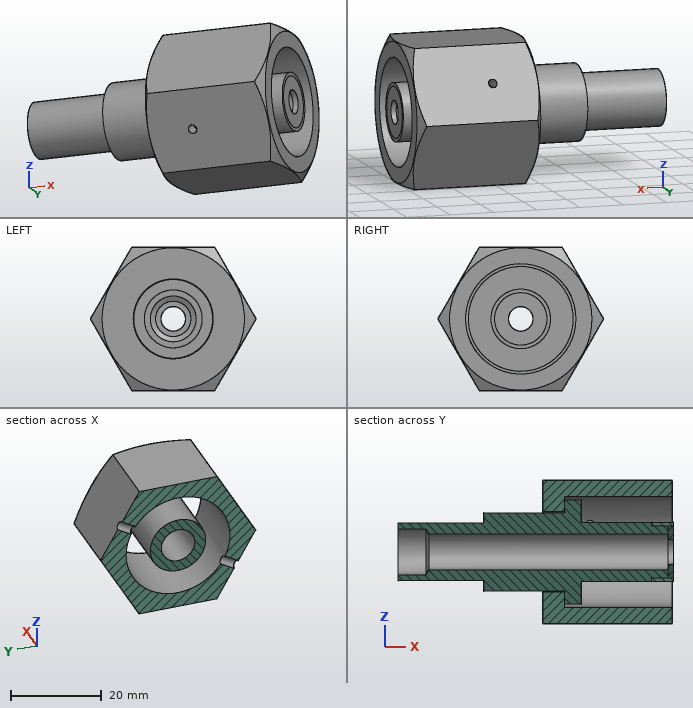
import cadquery as cq
import math


TOTAL_LENGTH = 60.9

HEX_SIDES = 6
ACROSS_FLATS = 31.7
NUT_START = 32.0
NUT_END = 60.6
NUT_FACE_RADIUS = 15.7
NUT_CHAMFER_ANGLE = 30.0
NUT_BACK_THICKNESS = 4.9
NUT_BORE_RADIUS = 12.2
VENT_RADIUS = 1.0
VENT_X = 42.45
VENT_TURN_FROM_Z = -60.0

TUBE_RADIUS = 6.4
TUBE_LENGTH = 18.95
COLLAR_RADIUS = 8.7
COLLAR_CLEARANCE = 0.1
SHOULDER_RADIUS = 11.6
SHOULDER_LENGTH = 3.65

SOCKET_RADIUS = 5.05
SOCKET_DEPTH = 6.2
BORE_RADIUS = 3.9
BORE_TAPER_LENGTH = 0.7

NOSE_RADIUS = 6.6
KEEPER_LENGTH = 4.9
KEEPER_WALL = 0.8
GASKET_THICKNESS = 1.2
GASKET_HOLE_RADIUS = 2.7

CORNER_RADIUS = ACROSS_FLATS / 2 / math.cos(math.pi / HEX_SIDES)
SHOULDER_START = NUT_START + NUT_BACK_THICKNESS
SHOULDER_END = SHOULDER_START + SHOULDER_LENGTH
KEEPER_START = TOTAL_LENGTH - KEEPER_LENGTH
GASKET_START = TOTAL_LENGTH - GASKET_THICKNESS
GASKET_RADIUS = NOSE_RADIUS - KEEPER_WALL


def revolve_profile(points):
    """Revolve a closed outline of (x, radius) points about the X axis."""
    return cq.Workplane("XY").polyline(points).close().revolve(360, (0, 0, 0), (1, 0, 0))


def tube(start, end, outer_radius, inner_radius):
    """Plain ring along X."""
    return (
        cq.Workplane("YZ", origin=(start, 0, 0))
        .circle(outer_radius)
        .circle(inner_radius)
        .extrude(end - start)
    )


def corner_chamfer_envelope():
    """Round blank with coned ends that trims the corners of the hexagon."""
    chamfer_length = (CORNER_RADIUS - NUT_FACE_RADIUS) * math.tan(math.radians(NUT_CHAMFER_ANGLE))
    return revolve_profile([
        (NUT_START, 0),
        (NUT_START, NUT_FACE_RADIUS),
        (NUT_START + chamfer_length, CORNER_RADIUS),
        (NUT_END - chamfer_length, CORNER_RADIUS),
        (NUT_END, NUT_FACE_RADIUS),
        (NUT_END, 0),
    ])


def vent_hole():
    """Cross hole through two opposite flats, perpendicular to them."""
    return (
        cq.Workplane("XY", origin=(VENT_X, 0, 0))
        .circle(VENT_RADIUS)
        .extrude(CORNER_RADIUS, both=True)
        .rotate((0, 0, 0), (1, 0, 0), VENT_TURN_FROM_Z)
    )


def make_nut():
    hexagon = (
        cq.Workplane("YZ", origin=(NUT_START, 0, 0))
        .polygon(HEX_SIDES, 2 * CORNER_RADIUS)
        .extrude(NUT_END - NUT_START)
    )
    neck_radius = COLLAR_RADIUS + COLLAR_CLEARANCE
    cavity = revolve_profile([
        (NUT_START, 0),
        (NUT_START, neck_radius),
        (SHOULDER_START, neck_radius),
        (SHOULDER_START, NUT_BORE_RADIUS),
        (NUT_END, NUT_BORE_RADIUS),
        (NUT_END, 0),
    ])
    return hexagon.intersect(corner_chamfer_envelope()).cut(cavity).cut(vent_hole())


def make_nipple():
    return revolve_profile([
        (0, SOCKET_RADIUS),
        (0, TUBE_RADIUS),
        (TUBE_LENGTH, TUBE_RADIUS),
        (TUBE_LENGTH, COLLAR_RADIUS),
        (SHOULDER_START, COLLAR_RADIUS),
        (SHOULDER_START, SHOULDER_RADIUS),
        (SHOULDER_END, SHOULDER_RADIUS),
        (SHOULDER_END, NOSE_RADIUS),
        (KEEPER_START, NOSE_RADIUS),
        (KEEPER_START, GASKET_RADIUS),
        (GASKET_START, GASKET_RADIUS),
        (GASKET_START, BORE_RADIUS),
        (SOCKET_DEPTH + BORE_TAPER_LENGTH, BORE_RADIUS),
        (SOCKET_DEPTH, SOCKET_RADIUS),
    ])


def make_gasket():
    return tube(GASKET_START, TOTAL_LENGTH, GASKET_RADIUS, GASKET_HOLE_RADIUS)


def make_keeper():
    return tube(KEEPER_START, TOTAL_LENGTH, NOSE_RADIUS, GASKET_RADIUS)


nut = make_nut()
nipple = make_nipple()
gasket = make_gasket()
keeper = make_keeper()

result = cq.Compound.makeCompound([nut.val(), nipple.val(), gasket.val(), keeper.val()])